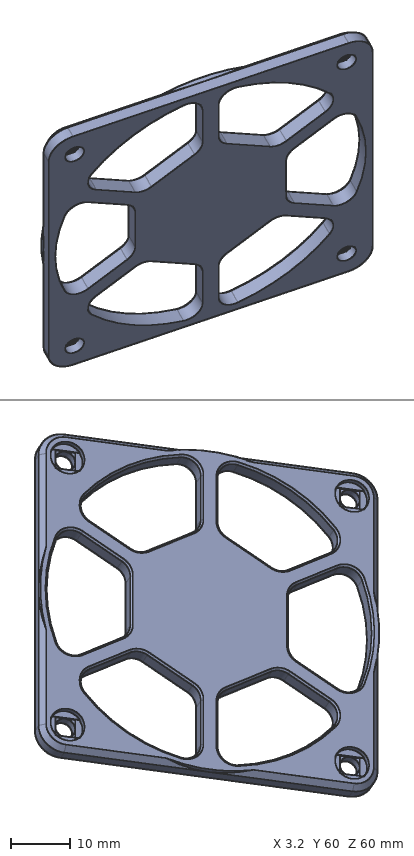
import cadquery as cq
import math

SIDE = 60.0
THICKNESS = 3.2
CORNER_RADIUS = 4.5
EDGE_CHAMFER = 1.0

RIM_RADIUS = SIDE / 2

OPENING_COUNT = 6
OPENING_OUTER_RADIUS = 28.75
HUB_FLATS = 27.95
SPOKE_WIDTH = 3.0
OPENING_CORNER_RADIUS = 3.0
OPENING_CHAMFER = 0.37

HOLE_SPACING = 50.35
HOLE_DIAMETER = 3.5
COUNTERBORE_DIAMETER = 6.0
COUNTERBORE_DEPTH = 1.0
STEP_DEPTH = 0.2


def front_plane():
    """YZ workplane on the front face, extruding toward the back."""
    return cq.Workplane("YZ")


def make_plate():
    """Rounded square with a chamfered front edge, filled out to full thickness inside the rim."""
    square = (
        front_plane()
        .rect(SIDE, SIDE)
        .extrude(THICKNESS)
        .edges("|X")
        .fillet(CORNER_RADIUS)
        .faces("<X")
        .edges()
        .chamfer(EDGE_CHAMFER)
    )
    rim = front_plane().circle(RIM_RADIUS).extrude(THICKNESS)
    return square.union(rim)


def make_opening():
    """Cutter for the opening centred on +Y."""
    half_angle = math.pi / OPENING_COUNT
    half_spoke = SPOKE_WIDTH / 2
    hub_y = HUB_FLATS / 2

    hub_z = hub_y * math.tan(half_angle) - half_spoke / math.cos(half_angle)
    outer_angle = half_angle - math.asin(half_spoke / OPENING_OUTER_RADIUS)
    outer_y = OPENING_OUTER_RADIUS * math.cos(outer_angle)
    outer_z = OPENING_OUTER_RADIUS * math.sin(outer_angle)

    outline = (
        front_plane()
        .moveTo(hub_y, -hub_z)
        .lineTo(outer_y, -outer_z)
        .threePointArc((OPENING_OUTER_RADIUS, 0), (outer_y, outer_z))
        .lineTo(hub_y, hub_z)
        .close()
    )
    return outline.extrude(THICKNESS).edges("|X").fillet(OPENING_CORNER_RADIUS)


def make_screw_hole(y, z):
    """Cutter for one hole: counterbore, then a slot along Y, then a square, then the bore."""
    slot_depth = COUNTERBORE_DEPTH + STEP_DEPTH
    square_depth = slot_depth + STEP_DEPTH

    def section():
        return front_plane().center(y, z)

    counterbore = section().circle(COUNTERBORE_DIAMETER / 2).extrude(COUNTERBORE_DEPTH)
    slot_band = section().rect(COUNTERBORE_DIAMETER, HOLE_DIAMETER).extrude(slot_depth)
    slot = section().circle(COUNTERBORE_DIAMETER / 2).extrude(slot_depth).intersect(slot_band)
    square = section().rect(HOLE_DIAMETER, HOLE_DIAMETER).extrude(square_depth)
    bore = section().circle(HOLE_DIAMETER / 2).extrude(THICKNESS)
    return counterbore.union(slot).union(square).union(bore)


result = make_plate()

opening = make_opening()
for index in range(OPENING_COUNT):
    angle = index * 360 / OPENING_COUNT
    result = result.cut(opening.rotate((0, 0, 0), (1, 0, 0), angle))

front_face = result.faces("<X").val()
opening_edges = [edge for wire in front_face.innerWires() for edge in wire.Edges()]
result = result.newObject(opening_edges).chamfer(OPENING_CHAMFER)

for side_y in (-1, 1):
    for side_z in (-1, 1):
        hole = make_screw_hole(side_y * HOLE_SPACING / 2, side_z * HOLE_SPACING / 2)
        result = result.cut(hole)